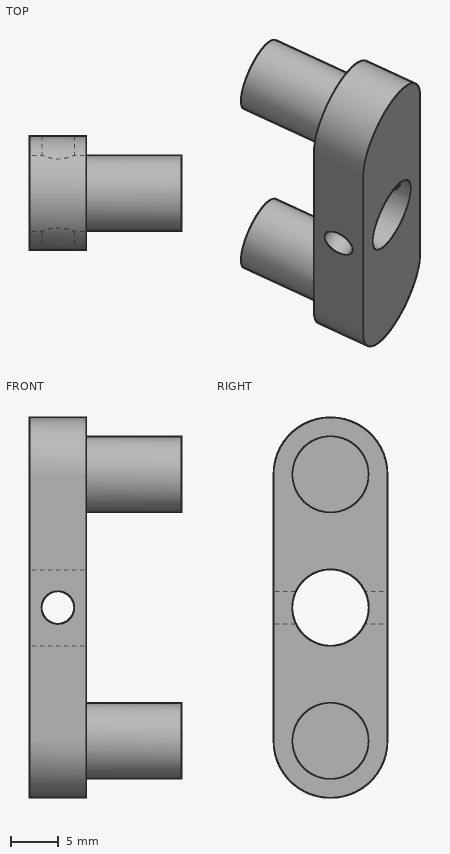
import cadquery as cq

plate_length = 40.0
plate_width = 12.0
plate_thickness = 6.0
pin_diameter = 8.0
pin_length = 10.0
center_hole_diameter = 8.0
cross_hole_diameter = 3.4

pin_spacing = plate_length - plate_width


def make_plate():
    """Round-ended plate standing upright, with its outer face at X = 0."""
    return (
        cq.Workplane("YZ")
        .slot2D(plate_length, plate_width, angle=90)
        .extrude(plate_thickness)
    )


def make_pins():
    """Two pins standing on the inner face of the plate."""
    return (
        cq.Workplane("YZ", origin=(plate_thickness, 0, 0))
        .pushPoints([(0, -pin_spacing / 2), (0, pin_spacing / 2)])
        .circle(pin_diameter / 2)
        .extrude(pin_length)
    )


def make_center_hole():
    """Cutter for the large hole through the plate thickness."""
    return cq.Workplane("YZ").circle(center_hole_diameter / 2).extrude(plate_thickness)


def make_cross_hole():
    """Cutter for the small hole across the plate width, meeting the large hole."""
    return (
        cq.Workplane("XZ", origin=(plate_thickness / 2, 0, 0))
        .circle(cross_hole_diameter / 2)
        .extrude(plate_width / 2, both=True)
    )


result = make_plate().union(make_pins()).cut(make_center_hole()).cut(make_cross_hole())